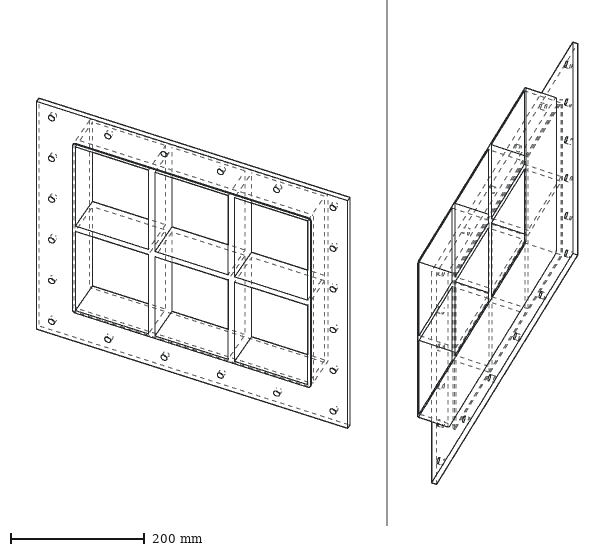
import cadquery as cq

plate_width = 513.5
plate_height = 463.0
plate_thickness = 8.0
flange_margin = 60.0

frame_width = plate_width - 2 * flange_margin
frame_height = plate_height - 2 * flange_margin
frame_depth = 60.0
frame_corner_radius = 5.0
wall_thickness = 5.0
rim_protrusion = 2.0

columns = 3
rows = 2
rib_thickness = 11.0
window_width = (frame_width - 2 * wall_thickness - (columns - 1) * rib_thickness) / columns
window_height = (frame_height - 2 * wall_thickness - (rows - 1) * rib_thickness) / rows

hole_diameter = 10.0
hole_edge_distance = 24.5
holes_per_side = 6
hole_pitch_x = (plate_width - 2 * hole_edge_distance) / (holes_per_side - 1)
hole_pitch_z = (plate_height - 2 * hole_edge_distance) / (holes_per_side - 1)


def slab(width, height, front_y, depth):
    """Block centred on the Y axis, reaching back from front_y."""
    return cq.Workplane("XY").box(width, depth, height).translate((0, front_y + depth / 2, 0))


def perimeter_points():
    """Hole centres: the outermost ring of a square-count grid."""
    last = holes_per_side - 1
    points = []
    for i in range(holes_per_side):
        for j in range(holes_per_side):
            if i in (0, last) or j in (0, last):
                points.append(((i - last / 2) * hole_pitch_x, (j - last / 2) * hole_pitch_z))
    return points


plate = slab(plate_width, plate_height, rim_protrusion, plate_thickness)
frame = slab(frame_width, frame_height, 0, frame_depth).edges("|Y").fillet(frame_corner_radius)

windows = (
    cq.Workplane("XZ")
    .rarray(window_width + rib_thickness, window_height + rib_thickness, columns, rows)
    .rect(window_width, window_height)
    .extrude(-frame_depth)
)
holes = (
    cq.Workplane("XZ")
    .pushPoints(perimeter_points())
    .circle(hole_diameter / 2)
    .extrude(-frame_depth)
)

result = plate.union(frame).cut(windows).cut(holes)